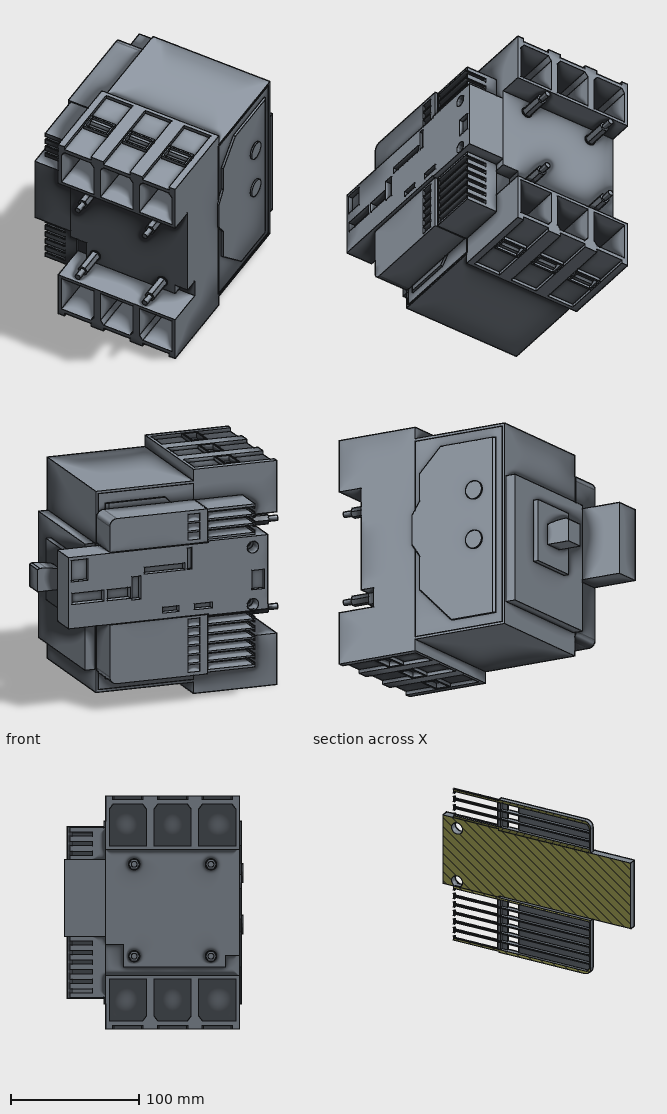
import cadquery as cq


def box(x_range, y_range, z_range):
    """Axis-aligned block given its two limits along each axis."""
    (x0, x1), (y0, y1), (z0, z1) = x_range, y_range, z_range
    return cq.Workplane("XY").box(x1 - x0, y1 - y0, z1 - z0, centered=False).translate((x0, y0, z0))


half_width = 52.3
terminal_half_height = 182.0 / 2
terminal_inner_z = 49.2
joint_y = 69.8
base_front_y = 20.0
base_thickness = 11.4
case_half_height = 81.7
case_rear_y = 151.7

base_bottom_z = -42.7
left_notch_width, left_notch_z = 14.1, -24.9
right_notch_width, right_notch_z = 11.2, -33.7

pole_count = 3
pole_pitch = 34.9
chamber_width = 29.0
chamber_inner_wall = 2.7
chamber_height = 32.7
chamber_chamfer_x, chamber_chamfer_z = 3.0, 4.0
pocket_rear_y = 66.8
lid_width = 23.7
lid_depth = 3.0
frame_width, frame_y = 21.4, (28.2, 41.5)
frame_wall = 1.4
frame_pocket_depth = 4.3
ledge_rise = 2.0
ledge_y, ledge_foot_y = 37.6, 35.9

panel_margin = 2.2
panel_depth = 0.5
cover_width, cover_y, cover_z = 100.2, 160.0, (-63.3, 39.2)
lever_base_width, lever_base_y, lever_base_half_height = 45.5, 164.2, 24.9
lever_width, lever_tip_y = 17.2, 183.5
lever_half_thickness = 8.2
neck_mid, neck_end = (170.5, 9.6), (176.0, 10.4)
crest, crest_end = (178.8, 10.5), (181.5, 10.5)
lever_tip_z = 9.6

plate_thickness = 1.4
plate_rear_y = 143.7
plate_front_y = 74.7
plate_half_height = 71.3
plate_top_slope = 19.2
plate_bottom_slope = 28.6
tongue_front_y = 67.5
tongue_root_z, tongue_tip_z = (-15.3, 29.8), (-4.9, 18.8)
plate_bevel_depth, plate_bevel_length = 1.2, 2.4
stud_button_diameter, stud_button_height = 14.7, 1.4
stud_button_y = 124.9
stud_button_z = (30.8, -9.5)

operator_left_x = -84.5
operator_rear_y = 187.2
operator_tail_right_x = -60.8
operator_head_z = (-18.8, 41.5)
operator_tail_z = (-17.6, 40.2)
screw_y = 32.5
screw_z = (32.5, -14.0)
screw_head_diameter, screw_head_depth = 9.5, 11.8
screw_socket_diameter, screw_socket_depth = 4.7, 15.7

plug_x = (-82.3, -54.0)
socket_left_x = -80.2
socket_front_y = 29.0
plug_outer_z = 67.0
socket_outer_z = 66.2
plug_fillet = 5.9
way_pitch = 7.5
outer_way_z = 61.2
upper_ways, lower_ways = 3, 6
plug_window_y = (76.0, 86.0)
connector_wall = 1.5
wire_slot_y = (30.2, 68.6)
passage_height, passage_right_x = 6.0, -62.5
mouth_height = 3.1

standoff_x = 30.0
standoff_z = (37.6, -34.1)
washer_diameter, washer_thickness = 8.8, 0.8
hex_diameter, hex_end_y = 8.5, -0.5
tip_diameter, tip_end_y = 4.5, -8.8


def chamber(x, left_chamfer, right_chamfer):
    """Open chamber centred on x, with either top corner chamfered or square."""
    bottom = terminal_inner_z + chamber_inner_wall
    top = bottom + chamber_height
    left, right = x - chamber_width / 2, x + chamber_width / 2
    outline = [(left, bottom), (right, bottom)]
    if right_chamfer:
        outline += [(right, top - chamber_chamfer_z), (right - chamber_chamfer_x, top)]
    else:
        outline.append((right, top))
    if left_chamfer:
        outline += [(left + chamber_chamfer_x, top), (left, top - chamber_chamfer_z)]
    else:
        outline.append((left, top))
    return cq.Workplane("XZ").polyline(outline).close().extrude(-pocket_rear_y)


def terminal_block(chamfer_outer_corners):
    """Upper terminal block: open chambers in front and a recessed lid above each."""
    top = terminal_half_height
    lid_z = top - lid_depth
    block = box((-half_width, half_width), (0, joint_y), (terminal_inner_z, top))
    for pole in range(pole_count):
        x = (pole - (pole_count - 1) / 2) * pole_pitch
        left_chamfer = chamfer_outer_corners or pole > 0
        right_chamfer = chamfer_outer_corners or pole < pole_count - 1
        lid = box((x - lid_width / 2, x + lid_width / 2), (0, pocket_rear_y), (lid_z, top))
        frame = box((x - frame_width / 2, x + frame_width / 2), frame_y, (lid_z, top))
        block = block.cut(chamber(x, left_chamfer, right_chamfer)).cut(lid).union(frame).cut(frame_pocket(x))
    return block


def frame_pocket(x):
    """Pocket inside a lid frame, with a higher ledge along its rear side."""
    top = terminal_half_height
    floor = top - frame_pocket_depth
    front, rear = frame_y[0] + frame_wall, frame_y[1] - frame_wall
    width = frame_width - 2 * frame_wall
    return (
        cq.Workplane("YZ")
        .polyline([
            (front, top),
            (front, floor),
            (ledge_foot_y, floor),
            (ledge_y, floor + ledge_rise),
            (rear, floor + ledge_rise),
            (rear, top),
        ])
        .close()
        .extrude(width)
        .translate((x - width / 2, 0, 0))
    )


def base():
    """Base between the terminal blocks, with a stepped plate on its front."""
    recess_y = base_front_y + base_thickness
    core = box((-half_width, half_width), (recess_y, joint_y), (-terminal_inner_z, terminal_inner_z))
    left_step_x = -half_width + left_notch_width
    right_step_x = half_width - right_notch_width
    plate = (
        cq.Workplane("XZ", origin=(0, base_front_y, 0))
        .polyline([
            (-half_width, terminal_inner_z),
            (half_width, terminal_inner_z),
            (half_width, right_notch_z),
            (right_step_x, right_notch_z),
            (right_step_x, base_bottom_z),
            (left_step_x, base_bottom_z),
            (left_step_x, left_notch_z),
            (-half_width, left_notch_z),
        ])
        .close()
        .extrude(-base_thickness)
    )
    return core.union(plate)


def lever():
    """Toggle lever whose upper surface curves up gently to a crest before its tip."""
    return (
        cq.Workplane("YZ")
        .moveTo(lever_base_y, -lever_half_thickness)
        .lineTo(lever_base_y, lever_half_thickness)
        .threePointArc(neck_mid, neck_end)
        .threePointArc(crest, crest_end)
        .lineTo(lever_tip_y, lever_tip_z)
        .lineTo(lever_tip_y, -lever_half_thickness)
        .close()
        .extrude(lever_width)
        .translate((-lever_width / 2, 0, 0))
    )


def rear_case():
    """Rear case with shallow side panels, cover and toggle lever."""
    case = box((-half_width, half_width), (joint_y, case_rear_y), (-case_half_height, case_half_height))
    panel_z = case_half_height - panel_margin
    for x in (-half_width, half_width - panel_depth):
        panel = box((x, x + panel_depth), (joint_y, case_rear_y - panel_margin), (-panel_z, panel_z))
        case = case.cut(panel)
    cover = box((-cover_width / 2, cover_width / 2), (case_rear_y, cover_y), cover_z)
    lever_base = box(
        (-lever_base_width / 2, lever_base_width / 2),
        (cover_y, lever_base_y),
        (-lever_base_half_height, lever_base_half_height),
    )
    return case.union(cover).union(lever_base).union(lever())


def side_plate():
    """Right-hand side plate with sloped corners and a front tongue."""
    return (
        cq.Workplane("YZ", origin=(half_width - panel_depth, 0, 0))
        .polyline([
            (plate_rear_y, plate_half_height),
            (plate_front_y + plate_top_slope, plate_half_height),
            (plate_front_y, plate_half_height - plate_top_slope),
            (plate_front_y, tongue_root_z[1]),
            (tongue_front_y, tongue_tip_z[1]),
            (tongue_front_y, tongue_tip_z[0]),
            (plate_front_y, tongue_root_z[0]),
            (plate_front_y, plate_bottom_slope - plate_half_height),
            (plate_front_y + plate_bottom_slope, -plate_half_height),
            (plate_rear_y, -plate_half_height),
        ])
        .close()
        .extrude(panel_depth + plate_thickness)
        .faces(">Y")
        .edges(">X")
        .chamfer(plate_bevel_depth, plate_bevel_length)
    )


def make_housing():
    """Base, terminal blocks, rear case, side plates and stud buttons as one solid."""
    upper_terminals = terminal_block(chamfer_outer_corners=True)
    lower_terminals = terminal_block(chamfer_outer_corners=False).mirror("XY")
    plate = side_plate()
    housing = base().union(upper_terminals).union(lower_terminals).union(rear_case())
    housing = housing.union(plate).union(plate.mirror("YZ"))
    for z in stud_button_z:
        button = (
            cq.Workplane("YZ", origin=(half_width + plate_thickness, stud_button_y, z))
            .circle(stud_button_diameter / 2)
            .extrude(stud_button_height)
        )
        housing = housing.union(button)
    return housing


operator_windows = [
    ((170.7, 184.8), (20.2, 37.6), 4.0),
    ((157.4, 184.2), (1.8, 10.8), 5.9),
    ((135.2, 154.6), (1.8, 10.8), 5.9),
    ((126.5, 134.0), (0.2, 19.0), 4.9),
    ((89.5, 123.7), (20.2, 25.7), 4.7),
    ((83.5, 87.6), (20.2, 37.6), 2.5),
    ((94.7, 108.2), (-13.1, -8.5), 4.7),
    ((66.6, 81.5), (-13.1, -8.5), 4.7),
    ((23.0, 33.5), (-2.0, 13.7), 3.5),
]


def make_operator():
    """Bar with windows and screws, recessed where it meets the tongue of the left side plate."""
    head = box((operator_left_x, -half_width), (base_front_y, joint_y), operator_head_z)
    tail = box((operator_left_x, operator_tail_right_x), (joint_y, operator_rear_y), operator_tail_z)
    body = head.union(tail).cut(side_plate().mirror("YZ"))
    for y_range, z_range, depth in operator_windows:
        body = body.cut(box((operator_left_x, operator_left_x + depth), y_range, z_range))
    for z in screw_z:
        face = cq.Workplane("YZ", origin=(operator_left_x, screw_y, z))
        body = body.cut(face.circle(screw_head_diameter / 2).extrude(screw_head_depth))
        body = body.cut(face.circle(screw_socket_diameter / 2).extrude(screw_socket_depth))
    return body


def plug_block(inner_z, inset):
    """Plug with its outer rear edge rounded, shrunk by inset at the left, rear and outer faces."""
    block = box(
        (plug_x[0] + inset, plug_x[1]),
        (joint_y + inset, case_rear_y - inset),
        (inner_z, plug_outer_z - inset),
    )
    return block.edges("|X and >Y and >Z").fillet(plug_fillet)


def way_openings(z, plug_core):
    """Wire passage at height z, with its side slot, front mouth and plug window."""
    z_range = (z - passage_height / 2, z + passage_height / 2)
    mouth_z = (z - mouth_height / 2, z + mouth_height / 2)
    plug_left_x, passage_rear_y = plug_x[0], joint_y + connector_wall
    slot_floor_x = socket_left_x + connector_wall
    slot = box((socket_left_x, slot_floor_x), wire_slot_y, z_range)
    passage = box((slot_floor_x, passage_right_x), (wire_slot_y[0], passage_rear_y), z_range)
    mouth = box((socket_left_x, passage_right_x), (socket_front_y, wire_slot_y[0]), mouth_z)
    plug_passage = box((plug_left_x, passage_right_x), (passage_rear_y, case_rear_y), z_range)
    window = box((plug_left_x, plug_left_x + connector_wall), plug_window_y, z_range)
    return [slot, passage, mouth, plug_passage.intersect(plug_core), window]


def make_connector(ways, plug_inner_z, socket_inner_z):
    """Connector above the operator: a plug at the rear and its socket in front, with stacked ways."""
    socket = box((socket_left_x, -half_width), (socket_front_y, joint_y), (socket_inner_z, socket_outer_z))
    body = plug_block(plug_inner_z, 0).union(socket)
    plug_core = plug_block(plug_inner_z, connector_wall)
    for way in range(ways):
        for opening in way_openings(outer_way_z - way * way_pitch, plug_core):
            body = body.cut(opening)
    return body


def make_standoff(x, z):
    """Washer, hexagonal post and round tip standing out of the base."""
    washer_front_y = base_front_y - washer_thickness
    washer = (
        cq.Workplane("XZ", origin=(x, base_front_y, z))
        .circle(washer_diameter / 2)
        .extrude(washer_thickness)
    )
    post = (
        cq.Workplane("XZ", origin=(x, washer_front_y, z))
        .polygon(6, hex_diameter)
        .extrude(washer_front_y - hex_end_y)
    )
    tip = (
        cq.Workplane("XZ", origin=(x, hex_end_y, z))
        .circle(tip_diameter / 2)
        .extrude(hex_end_y - tip_end_y)
    )
    return washer.union(post).union(tip)


housing = make_housing()
operator = make_operator()
upper_connector = make_connector(upper_ways, operator_tail_z[1], operator_head_z[1])
lower_connector = make_connector(lower_ways, -operator_head_z[0], -operator_head_z[0]).mirror("XY")
standoffs = [make_standoff(x, z) for x in (-standoff_x, standoff_x) for z in standoff_z]

result = cq.Compound.makeCompound([
    housing.val(),
    operator.val(),
    upper_connector.val(),
    lower_connector.val(),
    *[standoff.val() for standoff in standoffs],
])